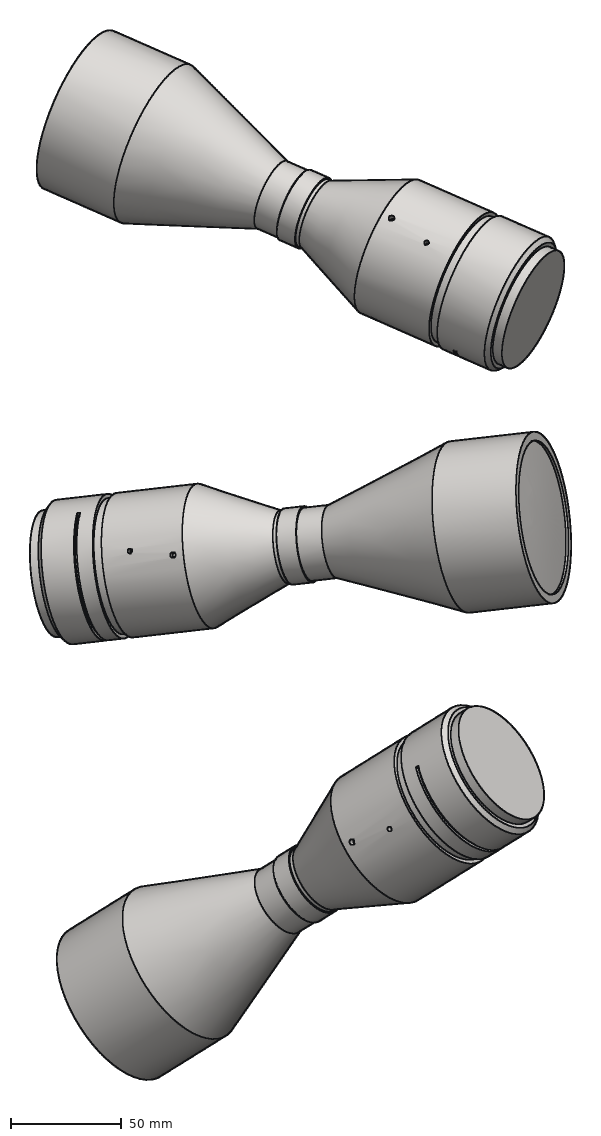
import cadquery as cq
import math

length = 235.3
hood_end = 40.0
front_cone_end = 100.2
neck_ring_start = 112.2
neck_ring_end = 121.6
rear_cone_start = 123.5
rear_cone_end = 161.2
groove_start = 199.7
groove_end = 204.0
barrel_end = 230.5

hood_radius = 39.0
neck_radius = 16.7
neck_ring_radius = 17.5
barrel_radius = 33.0
groove_radius = 31.0
spigot_radius = 29.0

barrel_chamfer = 2.0

lens_radius = 35.0
lens_edge_depth = 1.2
lens_thickness = 9.5

slit_center = 212.2
slit_width = 1.5
slit_first_angle = 197.7
slit_last_angle = 391.0

screw_holes = [(166.0, 2.5, 103.0), (186.3, 2.0, 110.0)]
screw_count = 3
screw_depth = 3.5


def revolve_about_x(profile):
    return profile.close().revolve(360, (0, 0, 0), (1, 0, 0))


def make_blank():
    profile = (
        cq.Workplane("XY")
        .moveTo(0, 0)
        .lineTo(0, hood_radius)
        .lineTo(hood_end, hood_radius)
        .lineTo(front_cone_end, neck_radius)
        .lineTo(neck_ring_start, neck_radius)
        .lineTo(neck_ring_start, neck_ring_radius)
        .lineTo(neck_ring_end, neck_ring_radius)
        .lineTo(neck_ring_end, neck_radius)
        .lineTo(rear_cone_start, neck_radius)
        .lineTo(rear_cone_end, barrel_radius)
        .lineTo(groove_start, barrel_radius)
        .lineTo(groove_start, groove_radius)
        .lineTo(groove_end, groove_radius)
        .lineTo(groove_end, barrel_radius)
        .lineTo(barrel_end - barrel_chamfer, barrel_radius)
        .lineTo(barrel_end, barrel_radius - barrel_chamfer)
        .lineTo(barrel_end, spigot_radius)
        .lineTo(length, spigot_radius)
        .lineTo(length, 0)
    )
    return revolve_about_x(profile)


def make_lens_seat():
    return cq.Workplane("YZ").circle(lens_radius).extrude(lens_edge_depth + lens_thickness)


def make_slit():
    sweep = slit_last_angle - slit_first_angle
    start_plane = cq.Workplane("XY").transformed(rotate=(slit_first_angle, 0, 0))
    return (
        start_plane
        .moveTo(slit_center, barrel_radius)
        .rect(slit_width, 2 * (barrel_radius - groove_radius))
        .revolve(sweep, (0, 0, 0), (1, 0, 0))
    )


def make_screw_holes():
    holes = []
    for station, diameter, first_angle in screw_holes:
        for index in range(screw_count):
            angle = math.radians(first_angle + index * 360 / screw_count)
            outward = cq.Vector(0, math.cos(angle), math.sin(angle))
            floor_center = cq.Vector(station, 0, 0) + outward * (barrel_radius - screw_depth)
            holes.append(cq.Solid.makeCylinder(diameter / 2, 2 * screw_depth, floor_center, outward))
    return holes


def make_housing():
    housing = make_blank().cut(make_lens_seat()).cut(make_slit())
    for hole in make_screw_holes():
        housing = housing.cut(cq.Workplane(obj=hole))
    return housing


def make_front_lens():
    lens_back = lens_edge_depth + lens_thickness
    sphere_radius = (lens_radius**2 + lens_edge_depth**2) / (2 * lens_edge_depth)
    mid_radius = lens_radius / 2
    mid_depth = sphere_radius - math.sqrt(sphere_radius**2 - mid_radius**2)
    profile = (
        cq.Workplane("XY")
        .moveTo(0, 0)
        .threePointArc((mid_depth, mid_radius), (lens_edge_depth, lens_radius))
        .lineTo(lens_back, lens_radius)
        .lineTo(lens_back, 0)
    )
    return revolve_about_x(profile)


housing = make_housing()
front_lens = make_front_lens()

result = cq.Compound.makeCompound([housing.val(), front_lens.val()])